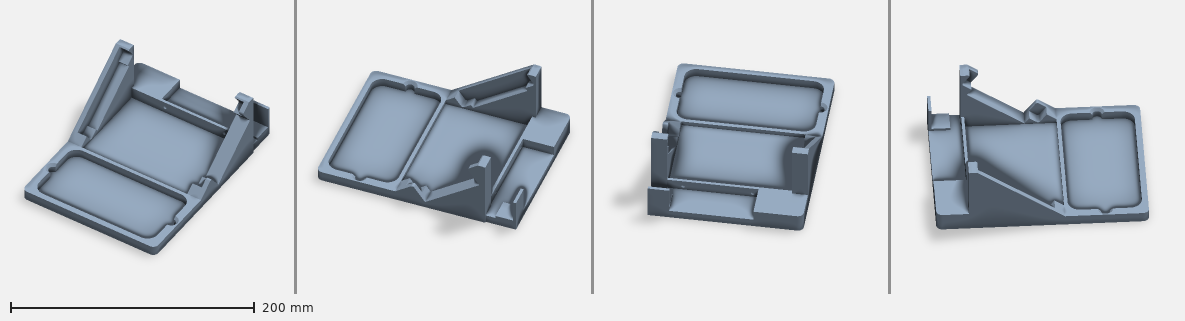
import cadquery as cq
import math

width = 130.0
length = 174.8
height = 62.0
corner_radius = 5.0

tray_height = 9.1
rear_height = 16.0
middle_floor = 5.0

wedge_width = 13.3
wedge_toe_y = 69.2
wedge_crest_y = 141.8
wedge_back_y = 148.2
back_bevel_length = 2.6
back_bevel_drop = 0.3
slope_angle = math.atan2(height - tray_height, wedge_crest_y - wedge_toe_y)

outer_wall = 4.4
cradle_start = 9.8
cradle_end = 88.3
cradle_depth = 11.4
cradle_round = 2.0
window_start = 19.2
window_end = 78.1
left_window_depth = 14.5
right_window_depth = 18.2
window_round = 2.0

rail_front_y = 145.1
recess_left_x = 41.0
recess_front_y = 147.5
recess_right_x = 128.8
recess_floor = 7.2
hole_diameter = 3.0
hole_left_x = 45.8
hole_pitch = 57.7
hole_z = 10.7
bracket_left_x = 111.0
bracket_front_y = 156.8
bracket_wall = 2.6
bracket_plate = 2.3
bracket_top = 29.7

tray_left_x = 7.2
tray_front_y = 5.0
tray_back_y = 66.0
tray_floor = 1.2
tray_corner_radius = 10.0
notch_radius = 3.8
notch_top_radius = 6.1
notch_bevel = notch_top_radius - notch_radius


def box(x0, x1, y0, y1, z0, z1):
    """Box between the given limits."""
    return cq.Workplane("XY").box(x1 - x0, y1 - y0, z1 - z0, centered=False).translate((x0, y0, z0))


def slope_box(x0, x1, start, end, depth, above=0.0):
    """Box laid on the slope, sunk by depth and rising by above."""
    block = box(x0, x1, start, end, -depth, above)
    block = block.rotate((0, 0, 0), (1, 0, 0), math.degrees(slope_angle))
    return block.translate((0, wedge_toe_y, tray_height))


def make_wedge(x0):
    """Triangular side support with a slight bevel along its back top edge."""
    outline = [
        (wedge_toe_y, 0),
        (wedge_toe_y, tray_height),
        (wedge_crest_y, height),
        (wedge_back_y - back_bevel_length, height),
        (wedge_back_y, height - back_bevel_drop),
        (wedge_back_y, 0),
    ]
    return cq.Workplane("YZ").polyline(outline).close().extrude(wedge_width).translate((x0, 0, 0))


def cradle_cut(x0, x1):
    """Device seat with rounded inner corners at both ends of its floor."""
    clearance = 2 * wedge_width
    seat = box(x0, x1, cradle_start, cradle_end, -cradle_depth, clearance)
    seat = seat.edges("|X and <Z").fillet(cradle_round)
    seat = seat.rotate((0, 0, 0), (1, 0, 0), math.degrees(slope_angle))
    return seat.translate((0, wedge_toe_y, tray_height))


def window_lip_round(position, direction):
    """Material outside the rounded lip at one end of the right window."""
    along = position + direction * window_round
    low, high = sorted((position, along))
    corner = box(right_wedge_x, width, low, high, -window_round, 0)
    rod = cq.Workplane("YZ").center(along, -window_round).circle(window_round).extrude(width)
    lip = corner.cut(rod).rotate((0, 0, 0), (1, 0, 0), math.degrees(slope_angle))
    return lip.translate((0, wedge_toe_y, tray_height))


right_wedge_x = width - wedge_width
base = box(0, width, 0, length, 0, rear_height).edges("|Z").fillet(corner_radius)
base = base.cut(box(0, width, 0, wedge_toe_y, tray_height, rear_height))
base = base.cut(box(0, width, wedge_toe_y, rail_front_y, middle_floor, rear_height))

base = base.cut(box(recess_left_x, width, recess_front_y, length, recess_floor, rear_height))
base = base.cut(box(recess_right_x, width, wedge_back_y, length, 0, rear_height))
rear_right_fill = box(
    recess_right_x - corner_radius, recess_right_x, length - corner_radius, length, 0, recess_floor
)
base = base.union(rear_right_fill)

bracket_foot = box(
    bracket_left_x, recess_right_x, bracket_front_y, length, recess_floor, recess_floor + bracket_plate
)
bracket_back = box(
    bracket_left_x, recess_right_x, length - bracket_wall, length, recess_floor, bracket_top
)
base = base.union(bracket_foot).union(bracket_back)

for hole_x in (hole_left_x, hole_left_x + hole_pitch):
    hole = cq.Workplane("XZ").center(hole_x, hole_z).circle(hole_diameter / 2)
    base = base.cut(hole.extrude(rail_front_y - recess_front_y).translate((0, rail_front_y, 0)))

left_wedge = make_wedge(0)
left_wedge = left_wedge.cut(cradle_cut(outer_wall, wedge_width))
left_wedge = left_wedge.cut(slope_box(outer_wall, wedge_width, window_start, window_end, left_window_depth))

right_wedge = make_wedge(right_wedge_x)
right_wedge = right_wedge.cut(cradle_cut(right_wedge_x, width - outer_wall))
right_wedge = right_wedge.cut(slope_box(right_wedge_x, width, window_start, window_end, right_window_depth))
right_wedge = right_wedge.cut(window_lip_round(window_start, -1))
right_wedge = right_wedge.cut(window_lip_round(window_end, 1))

tray_right_x = width - tray_left_x
tray = box(tray_left_x, tray_right_x, tray_front_y, tray_back_y, tray_floor, tray_height)
tray = tray.edges("|Z").fillet(tray_corner_radius)
for notch_x in (tray_left_x, tray_right_x):
    notch_y = (tray_front_y + tray_back_y) / 2
    notch_profile = [
        (0, tray_floor),
        (notch_radius, tray_floor),
        (notch_radius, tray_height - notch_bevel),
        (notch_top_radius, tray_height),
        (0, tray_height),
    ]
    notch = cq.Workplane("XZ").polyline(notch_profile).close().revolve(360, (0, 0, 0), (0, 1, 0))
    tray = tray.union(notch.translate((notch_x, notch_y, 0)))

result = base.cut(tray).union(left_wedge).union(right_wedge)